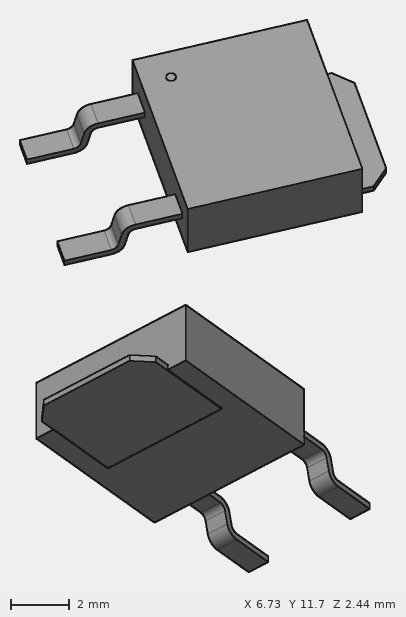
import cadquery as cq
import math


body_width = 6.73
body_length = 6.22
body_height = 2.40
body_front = -body_length / 2
body_back = body_length / 2

tab_width = 5.12
tab_thickness = 0.25
tab_drop = 0.04
tab_overhang = 1.27
tab_inset = 2.83
tab_chamfer = 0.635

lead_pitch = 4.57
lead_width = 0.88
lead_thickness = 0.25
lead_reach = 4.20
lead_top = 1.35
lead_shoulder = 1.67
inner_radius = 0.26
outer_radius = inner_radius + lead_thickness
bend_angle = math.radians(77)
lead_positions = [-lead_pitch / 2, lead_pitch / 2]

mark_diameter = 0.34
mark_depth = 0.10
mark_x = lead_positions[0]
mark_setback = 1.06
mark_y = body_front + mark_setback


def make_tab():
    """Flat plate with its two outer corners cut off."""
    length = tab_overhang + tab_inset
    return (
        cq.Workplane("XY", origin=(0, body_back - tab_inset, -tab_drop))
        .box(tab_width, length, tab_thickness, centered=(True, False, False))
        .edges("|Z and >Y")
        .chamfer(tab_chamfer)
    )


def make_mark():
    """Thin disc whose upper face is level with the top of the body."""
    return (
        cq.Workplane("XY", origin=(mark_x, mark_y, body_height - mark_depth))
        .circle(mark_diameter / 2)
        .extrude(mark_depth)
    )


def make_body(tab, mark):
    """Plain block with recesses that fit the tab and the pin 1 mark."""
    block = cq.Workplane("XY").box(body_width, body_length, body_height, centered=(True, True, False))
    return block.cut(tab).cut(mark)


def make_lead(x):
    """Gull-wing strip centred on x, bent down and then out to a flat foot."""
    upper_centre = (lead_shoulder, lead_top - outer_radius)
    lower_centre_z = outer_radius
    radius_sum = inner_radius + outer_radius
    web_drop = upper_centre[1] - lower_centre_z + radius_sum * math.cos(bend_angle)
    web_run = web_drop / math.tan(bend_angle)
    lower_centre = (upper_centre[0] + radius_sum * math.sin(bend_angle) + web_run, lower_centre_z)

    def upper_point(radius, angle):
        return (
            upper_centre[0] + radius * math.sin(angle),
            upper_centre[1] + radius * math.cos(angle),
        )

    def lower_point(radius, angle):
        return (
            lower_centre[0] - radius * math.sin(angle),
            lower_centre[1] - radius * math.cos(angle),
        )

    half_angle = bend_angle / 2
    profile_plane = cq.Plane(
        origin=(x + lead_width / 2, body_front, 0),
        xDir=(0, -1, 0),
        normal=(-1, 0, 0),
    )
    return (
        cq.Workplane(profile_plane)
        .moveTo(0, lead_top)
        .lineTo(*upper_point(outer_radius, 0))
        .threePointArc(upper_point(outer_radius, half_angle), upper_point(outer_radius, bend_angle))
        .lineTo(*lower_point(inner_radius, bend_angle))
        .threePointArc(lower_point(inner_radius, half_angle), lower_point(inner_radius, 0))
        .lineTo(lead_reach, lead_thickness)
        .lineTo(lead_reach, 0)
        .lineTo(*lower_point(outer_radius, 0))
        .threePointArc(lower_point(outer_radius, half_angle), lower_point(outer_radius, bend_angle))
        .lineTo(*upper_point(inner_radius, bend_angle))
        .threePointArc(upper_point(inner_radius, half_angle), upper_point(inner_radius, 0))
        .lineTo(0, lead_top - lead_thickness)
        .close()
        .extrude(lead_width)
    )


tab = make_tab()
mark = make_mark()
body = make_body(tab, mark)
leads = [make_lead(x) for x in lead_positions]

result = cq.Compound.makeCompound(
    [body.val(), tab.val(), mark.val(), *[lead.val() for lead in leads]]
)